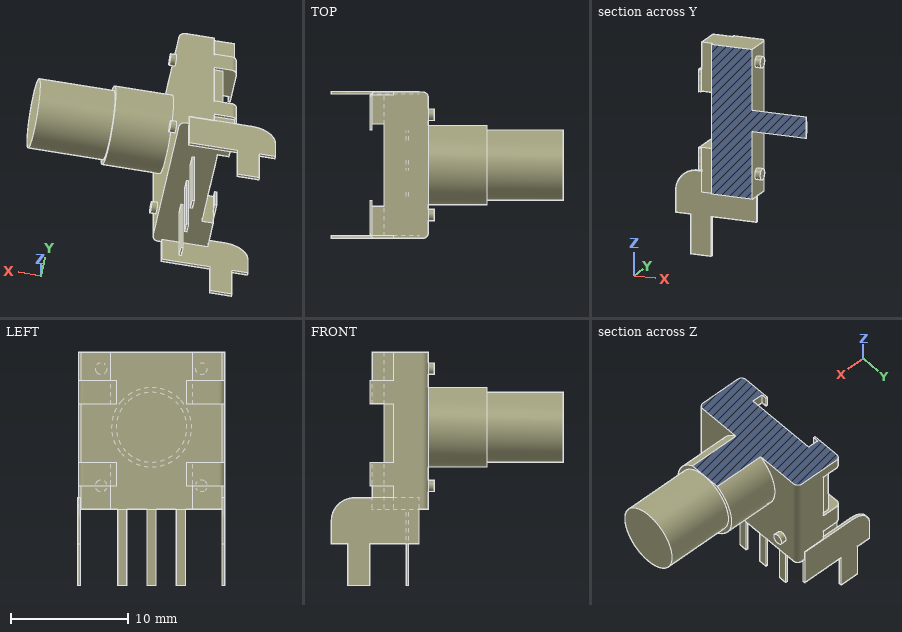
import cadquery as cq


body_rear_x = -4.8
body_half_width = 6.0
top_z = 6.4
bottom_z = -7.0
recess_depth = 1.0
recess_x = body_rear_x + recess_depth
channel_width = 7.0

side_sheet = 0.25
end_sheet = 0.2
bend_radius = 0.5
cover_half_width = body_half_width + side_sheet
cover_edge_x = -3.0
clip_rear_x = body_rear_x - end_sheet
clip_tip_y = 3.0
clip_height = 2.0
upper_clip_bottom_z = 2.0
lower_clip_top_z = -3.0
clip_bottoms = (upper_clip_bottom_z, lower_clip_top_z - clip_height)

bushing_diameter = 6.8
bushing_length = 5.0
shaft_diameter = 6.0
shaft_end_x = 11.5
pin_diameter = 1.0
pin_length = 0.5
left_pin_y = 4.3
right_pin_y = -4.25
pin_z = 5.0

bracket_rear_x = -8.3
bracket_front_x = -0.8
bracket_top_z = -6.0
bracket_bottom_z = -9.95
bracket_corner_radius = 2.0
left_bracket_step = 0.05
bracket_left_y = cover_half_width + left_bracket_step - side_sheet
bracket_right_y = -cover_half_width
leg_rear_x = -6.9
leg_front_x = -5.0
leg_bottom_z = -13.5

terminal_width = 0.8
terminal_pitch = 2.5
terminal_thickness = 0.2
terminal_rear_x = -1.9


def box(x0, x1, y0, y1, z0, z1):
    """Box between opposite corners."""
    return cq.Workplane("XY").box(x1 - x0, y1 - y0, z1 - z0, centered=False).translate((x0, y0, z0))


def rod(diameter, end_x, y=0, z=0):
    """Cylinder along +X that starts inside the cover's front sheet."""
    start_x = -end_sheet
    plane = cq.Workplane("YZ", origin=(start_x, y, z))
    return plane.circle(diameter / 2).extrude(end_x - start_x)


def make_body():
    """Block with a vertical rear channel and a full-width recess between the clips."""
    body = box(body_rear_x, -end_sheet, -body_half_width, body_half_width, bottom_z, top_z)
    channel = box(body_rear_x, recess_x, -channel_width / 2, channel_width / 2, bottom_z, top_z)
    cross_recess = box(
        body_rear_x, recess_x, -body_half_width, body_half_width, lower_clip_top_z, upper_clip_bottom_z
    )
    return body.cut(channel).cut(cross_recess)


def make_cover():
    """U-shaped sheet around the front and sides, rounded at its vertical front bends."""
    outer = box(cover_edge_x, 0, -cover_half_width, cover_half_width, bottom_z, top_z)
    outer = outer.edges("|Z and >X").fillet(bend_radius)
    inner = box(cover_edge_x, -end_sheet, -body_half_width, body_half_width, bottom_z, top_z)
    return outer.cut(inner)


def make_clips(clip_bottom_z):
    """Pair of tabs that run back from the cover sides and fold over the body's rear face."""
    clip_top_z = clip_bottom_z + clip_height
    wrap = box(clip_rear_x, cover_edge_x, -cover_half_width, cover_half_width, clip_bottom_z, clip_top_z)
    wrap = wrap.edges("|Z and <X").fillet(bend_radius)
    inside = box(body_rear_x, cover_edge_x, -body_half_width, body_half_width, clip_bottom_z, clip_top_z)
    tip_gap = box(clip_rear_x, body_rear_x, -clip_tip_y, clip_tip_y, clip_bottom_z, clip_top_z)
    return wrap.cut(inside).cut(tip_gap)


def make_bracket(inner_y):
    """Side plate with a rounded upper rear corner and a solder leg below."""
    outer_y = inner_y + side_sheet
    plate = box(bracket_rear_x, bracket_front_x, inner_y, outer_y, bracket_bottom_z, bracket_top_z)
    plate = plate.edges("|Y and <X and >Z").fillet(bracket_corner_radius)
    leg = box(leg_rear_x, leg_front_x, inner_y, outer_y, leg_bottom_z, bracket_bottom_z)
    return plate.union(leg)


def make_terminal(center_y):
    """Flat terminal that hangs from the underside of the body."""
    half_width = terminal_width / 2
    front_x = terminal_rear_x + terminal_thickness
    return box(terminal_rear_x, front_x, center_y - half_width, center_y + half_width, leg_bottom_z, bottom_z)


result = make_body().union(make_cover())
for clip_bottom_z in clip_bottoms:
    result = result.union(make_clips(clip_bottom_z))

result = result.union(rod(bushing_diameter, bushing_length))
result = result.union(rod(shaft_diameter, shaft_end_x))
for y in (right_pin_y, left_pin_y):
    for z in (-pin_z, pin_z):
        result = result.union(rod(pin_diameter, pin_length, y, z))

for inner_y in (bracket_left_y, bracket_right_y):
    result = result.union(make_bracket(inner_y))
for position in (-1, 0, 1):
    result = result.union(make_terminal(position * terminal_pitch))